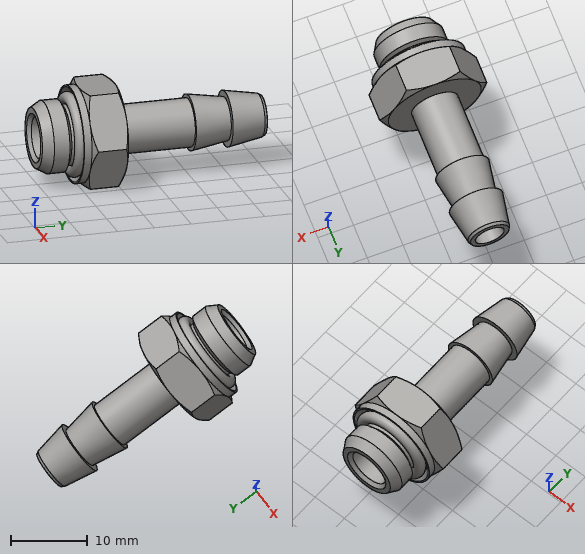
import cadquery as cq
import math

LENGTH = 31.0

BARB_COUNT = 2
BARB_LENGTH = 5.0
BARB_RADIUS = 3.75
BARB_ROOT_RADIUS = 2.9
TIP_RADIUS = 2.7
TIP_CHAMFER = 0.4
STEM_RADIUS = 3.25

FLANGE_START = 5.0
HEX_START = 6.0
HEX_LENGTH = 5.0
HEX_END = HEX_START + HEX_LENGTH
ACROSS_FLATS = 13.0
FLANGE_RADIUS = ACROSS_FLATS / 2
HEX_CORNER_RADIUS = FLANGE_RADIUS / math.cos(math.pi / 6)
HEX_CHAMFER_ANGLE = math.radians(30)

THREAD_RADIUS = 4.85
GROOVE_RADIUS = 4.03
LEAD_CHAMFER_LENGTH = 1.4
LEAD_CHAMFER_DEPTH = 0.8
THREAD_END = 3.5
GROOVE_START = 4.0

RING_SECTION_RADIUS = 0.8
RING_RADIUS = GROOVE_RADIUS + RING_SECTION_RADIUS
RECESS_MOUTH_RADIUS = 6.25
RECESS_DEPTH = RING_SECTION_RADIUS
RECESS_FLOOR_RADIUS = RECESS_MOUTH_RADIUS - RECESS_DEPTH

BORE_RADIUS = 2.0
WIDE_BORE_RADIUS = 2.75
WIDE_BORE_DEPTH = HEX_END
DRILL_TIP_ANGLE = math.radians(59)
MOUTH_CHAMFER = 0.5


def revolve_profile(points):
    """Turn a closed (radius, Y) outline about the Y axis."""
    return cq.Workplane("XY").polyline(points).close().revolve(360, (0, 0, 0), (0, 1, 0))


def make_threaded_end():
    """Thread, groove and flange, with the ring recess cut into the flange face."""
    return revolve_profile([
        (0, 0),
        (THREAD_RADIUS - LEAD_CHAMFER_DEPTH, 0),
        (THREAD_RADIUS, LEAD_CHAMFER_LENGTH),
        (THREAD_RADIUS, THREAD_END),
        (GROOVE_RADIUS, GROOVE_START),
        (GROOVE_RADIUS, FLANGE_START + RECESS_DEPTH),
        (RECESS_FLOOR_RADIUS, FLANGE_START + RECESS_DEPTH),
        (RECESS_MOUTH_RADIUS, FLANGE_START),
        (FLANGE_RADIUS, FLANGE_START),
        (FLANGE_RADIUS, HEX_START),
        (0, HEX_START),
    ])


def make_hexagon():
    """Hexagon with corners on X, both ends turned to a cone that starts at the flats."""
    corner_height = (HEX_CORNER_RADIUS - FLANGE_RADIUS) * math.tan(HEX_CHAMFER_ANGLE)
    prism = (
        cq.Workplane("XZ", origin=(0, HEX_END, 0))
        .polygon(6, 2 * HEX_CORNER_RADIUS)
        .extrude(HEX_LENGTH)
    )
    turned_blank = revolve_profile([
        (0, HEX_START),
        (FLANGE_RADIUS, HEX_START),
        (HEX_CORNER_RADIUS, HEX_START + corner_height),
        (HEX_CORNER_RADIUS, HEX_END - corner_height),
        (FLANGE_RADIUS, HEX_END),
        (0, HEX_END),
    ])
    return prism.intersect(turned_blank)


def make_hose_tail():
    """Plain stem followed by tapered barbs and a chamfered tip."""
    barbs_start = LENGTH - BARB_COUNT * BARB_LENGTH
    points = [(0, HEX_END), (STEM_RADIUS, HEX_END), (STEM_RADIUS, barbs_start)]
    for index in range(BARB_COUNT):
        barb_start = barbs_start + index * BARB_LENGTH
        points.append((BARB_RADIUS, barb_start))
        is_last = index == BARB_COUNT - 1
        taper_end = LENGTH - TIP_CHAMFER if is_last else barb_start + BARB_LENGTH
        points.append((BARB_ROOT_RADIUS, taper_end))
    points += [(TIP_RADIUS, LENGTH), (0, LENGTH)]
    return revolve_profile(points)


def make_bore():
    """Through bore, widened from the threaded end down to a drill-point cone."""
    cone_length = (WIDE_BORE_RADIUS - BORE_RADIUS) / math.tan(DRILL_TIP_ANGLE)
    return revolve_profile([
        (0, 0),
        (WIDE_BORE_RADIUS + MOUTH_CHAMFER, 0),
        (WIDE_BORE_RADIUS, MOUTH_CHAMFER),
        (WIDE_BORE_RADIUS, WIDE_BORE_DEPTH),
        (BORE_RADIUS, WIDE_BORE_DEPTH + cone_length),
        (BORE_RADIUS, LENGTH),
        (0, LENGTH),
    ])


def make_fitting():
    """Hose fitting in one piece."""
    outside = make_threaded_end().union(make_hexagon()).union(make_hose_tail())
    return outside.cut(make_bore())


def make_sealing_ring():
    """O-ring around the groove, centred on the plane of the flange face."""
    ring = cq.Solid.makeTorus(
        RING_RADIUS, RING_SECTION_RADIUS, cq.Vector(0, FLANGE_START, 0), cq.Vector(0, 1, 0)
    )
    return cq.Workplane(ring)


fitting = make_fitting()
sealing_ring = make_sealing_ring()

result = cq.Compound.makeCompound([fitting.val(), sealing_ring.val()])